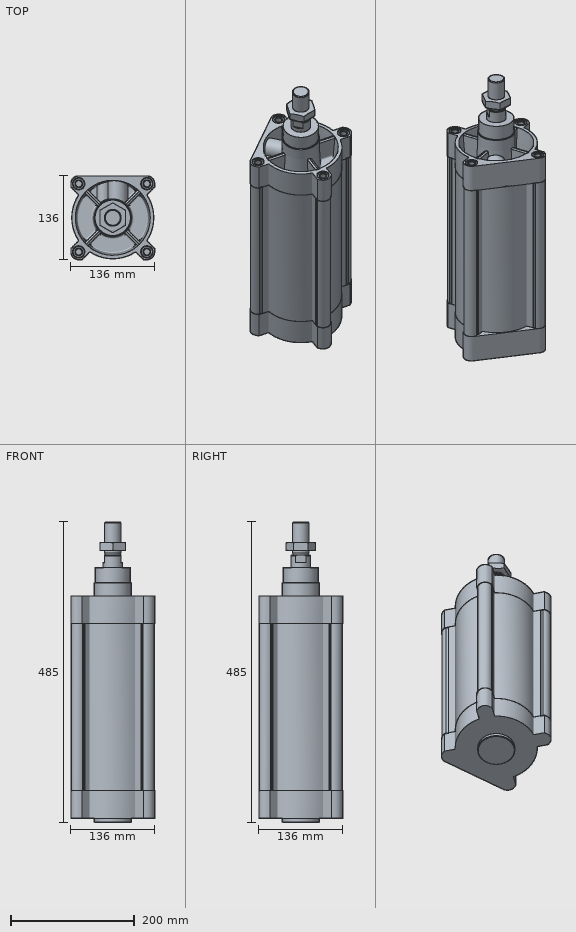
import cadquery as cq
import math

TOTAL_HEIGHT = 485.0
REAR_SPIGOT_HEIGHT = 6.5
CAP_HEIGHT = 45.0
FRONT_CAP_TOP = 366.0
BOSS_STEP_Z = 387.5
BOSS_TOP = 412.0

REAR_CAP_BOTTOM = REAR_SPIGOT_HEIGHT
REAR_CAP_TOP = REAR_CAP_BOTTOM + CAP_HEIGHT
FRONT_CAP_BOTTOM = FRONT_CAP_TOP - CAP_HEIGHT

SIDE = 136.0
LUG_PITCH = 110.0
LUG_CENTER = LUG_PITCH / 2
LUG_RADIUS = SIDE / 2 - LUG_CENTER
CAP_DIAMETER = 133.0
BARREL_DIAMETER = 132.5
BARREL_LUG_DIAMETER = 24.5
LUG_ANGLES = [45, 135, 225, 315]
LUG_REACH = LUG_CENTER * math.sqrt(2)
LUG_ROOT = 48.5
LUG_ROOT_FILLET = 1.0
SEAM_CLEARANCE = 14.5
TOLERANCE = 0.05

FLANK_GROOVE_START = 76.5
FLANK_GROOVE_WIDTH = 4.0
FLANK_GROOVE_DEPTH = 1.5
WEB_WIDTH = 25.0

BOSS_DIAMETER = 60.0
BOSS_NECK_DIAMETER = 57.0
BOSS_BASE_DIAMETER = 64.0
BOSS_BASE_FILLET = 2.5
STEP_CHAMFER = 1.0
CAVITY_DEPTH = 39.0
CAVITY_FLOOR = FRONT_CAP_TOP - CAVITY_DEPTH
CAVITY_TOP_DIAMETER = 121.2
CAVITY_FLOOR_DIAMETER = 114.5
CAVITY_FLOOR_FILLET = 2.0

RIB_CREST_Z = FRONT_CAP_TOP - 1.0
RIB_CREST_SLOPE = math.radians(20)
RIB_WIDTH = 7.0
RIB_BASE_FILLET = 3.0
RIB_INNER_END = 24.2
RIB_OUTER_END = 62.0

PORT_BOSS_X = 8.2
PORT_BOSS_DIAMETER = 32.0
PORT_BOSS_Z = (FRONT_CAP_BOTTOM + FRONT_CAP_TOP) / 2
VALVE_BOSS_X = -14.0
VALVE_BOSS_DIAMETER = 23.5
VALVE_BOSS_Z = 331.0
PORT_BOSS_END = 62.0

RECESS_DIAMETER = 20.0
SEAT_DIAMETER = 18.0
SEAT_DEPTH = 1.0
SOCKET_MOUTH_DIAMETER = 12.5
SOCKET_MOUTH_DEPTH = 2.0
SOCKET_DIAMETER = 10.0
SOCKET_DEPTH = 12.0

ROD_DIAMETER = 32.0
ROD_BOTTOM = FRONT_CAP_BOTTOM
ROD_SHOULDER_Z = 431.5
ROD_CHAMFER = 1.0
FLATS_WIDTH = 27.0
FLATS_BOTTOM = 419.5
THREAD_DIAMETER = 27.0
THREAD_BOTTOM = 435.5
THREAD_CHAMFER = 1.5
UNDERCUT_DIAMETER = 25.5

NUT_ACROSS_FLATS = 41.5
NUT_BOTTOM = 439.0
NUT_HEIGHT = 13.5
NUT_CHAMFER_ANGLE = math.radians(15)


def disc(diameter, bottom, top):
    """Vertical cylinder on the main axis between two heights."""
    return cq.Workplane("XY").workplane(offset=bottom).circle(diameter / 2).extrude(top - bottom)


def at_lug(solid, angle):
    """Turn a shape built along +X to one of the lug directions."""
    return solid.rotate((0, 0, 0), (0, 0, 1), angle)


def fillet_lug_roots(body, body_diameter):
    """Round the vertical corners where the lug flanks meet the round body."""
    def is_root(edge):
        x = abs(edge.Center().x)
        y = abs(edge.Center().y)
        on_body = abs(math.hypot(x, y) - body_diameter / 2) < TOLERANCE
        return on_body and min(x, y) > SEAM_CLEARANCE
    return body.edges("|Z").filter(is_root).fillet(LUG_ROOT_FILLET)


def cap_lug(bottom, height):
    """Lug along +X: rounded outer corner, flat tangent sides and straight flanks."""
    half = LUG_RADIUS
    corner = half * math.tan(math.pi / 8)
    tangent = half / math.sqrt(2)
    return (
        cq.Workplane("XY").workplane(offset=bottom)
        .moveTo(LUG_ROOT, -half)
        .lineTo(LUG_REACH + corner, -half)
        .lineTo(LUG_REACH + tangent, -tangent)
        .threePointArc((LUG_REACH + half, 0), (LUG_REACH + tangent, tangent))
        .lineTo(LUG_REACH + corner, half)
        .lineTo(LUG_ROOT, half)
        .close().extrude(height)
    )


def make_cap(bottom):
    """Round end cap with four lugs and a straight +Y side."""
    cap = disc(CAP_DIAMETER, bottom, bottom + CAP_HEIGHT)
    for angle in LUG_ANGLES:
        cap = cap.union(at_lug(cap_lug(bottom, CAP_HEIGHT), angle))
    port_side = (
        cq.Workplane("XY").workplane(offset=bottom)
        .center(0, (SIDE / 2 + LUG_ROOT) / 2)
        .rect(2 * LUG_CENTER, SIDE / 2 - LUG_ROOT).extrude(CAP_HEIGHT)
    )
    return fillet_lug_roots(cap.union(port_side), CAP_DIAMETER)


def barrel_lug():
    """Tie-rod cover along +X: a round bar on a straight web with grooved flanks."""
    height = FRONT_CAP_BOTTOM - REAR_CAP_TOP
    base = cq.Workplane("XY").workplane(offset=REAR_CAP_TOP)
    web_length = FLANK_GROOVE_START - LUG_ROOT
    web = base.center(LUG_ROOT + web_length / 2, 0).rect(web_length, WEB_WIDTH).extrude(height)
    bar = base.center(LUG_REACH, 0).circle(BARREL_LUG_DIAMETER / 2).extrude(height)
    groove_x = FLANK_GROOVE_START + FLANK_GROOVE_WIDTH / 2
    grooves = (
        base.pushPoints([(groove_x, -WEB_WIDTH / 2), (groove_x, WEB_WIDTH / 2)])
        .rect(FLANK_GROOVE_WIDTH, 2 * FLANK_GROOVE_DEPTH).extrude(height)
    )
    return web.union(bar).cut(grooves)


def make_barrel():
    barrel = disc(BARREL_DIAMETER, REAR_CAP_TOP, FRONT_CAP_BOTTOM)
    for angle in LUG_ANGLES:
        barrel = barrel.union(at_lug(barrel_lug(), angle))
    return fillet_lug_roots(barrel, BARREL_DIAMETER)


def make_cavity():
    """Tapered space removed from the front cap."""
    draft = math.degrees(math.atan((CAVITY_TOP_DIAMETER - CAVITY_FLOOR_DIAMETER) / 2 / CAVITY_DEPTH))
    return (
        cq.Workplane("XY").workplane(offset=FRONT_CAP_TOP)
        .circle(CAVITY_TOP_DIAMETER / 2).extrude(-CAVITY_DEPTH, taper=draft)
        .faces("<Z").edges().fillet(CAVITY_FLOOR_FILLET)
    )


def make_boss():
    """Stepped rod guide: filleted conical base, cylinder, narrower neck."""
    base_radius = BOSS_BASE_DIAMETER / 2
    fillet = BOSS_BASE_FILLET
    arc_inset = fillet * (1 - math.cos(math.pi / 4))
    return (
        cq.Workplane("XZ")
        .moveTo(0, FRONT_CAP_BOTTOM)
        .lineTo(base_radius + fillet, FRONT_CAP_BOTTOM)
        .lineTo(base_radius + fillet, CAVITY_FLOOR)
        .threePointArc((base_radius + arc_inset, CAVITY_FLOOR + arc_inset),
                       (base_radius, CAVITY_FLOOR + fillet))
        .lineTo(BOSS_DIAMETER / 2, FRONT_CAP_TOP)
        .lineTo(BOSS_DIAMETER / 2, BOSS_STEP_Z - STEP_CHAMFER)
        .lineTo(BOSS_NECK_DIAMETER / 2, BOSS_STEP_Z)
        .lineTo(BOSS_NECK_DIAMETER / 2, BOSS_TOP)
        .lineTo(0, BOSS_TOP)
        .close().revolve(360, (0, 0, 0), (0, 1, 0))
    )


def make_rib():
    """Rib along +X with a roof-shaped crest and filleted foot."""
    half = RIB_WIDTH / 2
    shoulder_z = RIB_CREST_Z - half * math.tan(RIB_CREST_SLOPE)
    fillet = RIB_BASE_FILLET
    arc_inset = fillet * (1 - math.cos(math.pi / 4))
    foot = half + fillet
    return (
        cq.Workplane("YZ").workplane(offset=RIB_INNER_END)
        .moveTo(-foot, FRONT_CAP_BOTTOM)
        .lineTo(foot, FRONT_CAP_BOTTOM)
        .lineTo(foot, CAVITY_FLOOR)
        .threePointArc((half + arc_inset, CAVITY_FLOOR + arc_inset), (half, CAVITY_FLOOR + fillet))
        .lineTo(half, shoulder_z)
        .lineTo(0, RIB_CREST_Z)
        .lineTo(-half, shoulder_z)
        .lineTo(-half, CAVITY_FLOOR + fillet)
        .threePointArc((-half - arc_inset, CAVITY_FLOOR + arc_inset), (-foot, CAVITY_FLOOR))
        .close().extrude(RIB_OUTER_END - RIB_INNER_END)
    )


def port_boss(x, z, diameter):
    """Cylinder along +Y from the main axis to the cavity wall."""
    return cq.Workplane("XZ").center(x, z).circle(diameter / 2).extrude(-PORT_BOSS_END)


def screw_recess():
    """Shallow conical recess with a central socket, at the lug along +X."""
    seat_z = FRONT_CAP_TOP - SEAT_DEPTH
    mouth_z = FRONT_CAP_TOP - SOCKET_MOUTH_DEPTH
    return (
        cq.Workplane("XZ").center(LUG_REACH, 0)
        .polyline([
            (0, FRONT_CAP_TOP),
            (RECESS_DIAMETER / 2, FRONT_CAP_TOP),
            (SEAT_DIAMETER / 2, seat_z),
            (SOCKET_MOUTH_DIAMETER / 2, seat_z),
            (SOCKET_DIAMETER / 2, mouth_z),
            (SOCKET_DIAMETER / 2, FRONT_CAP_TOP - SOCKET_DEPTH),
            (0, FRONT_CAP_TOP - SOCKET_DEPTH),
        ])
        .close().revolve(360, (0, 0, 0), (0, 1, 0))
    )


def make_housing():
    front_cap = make_cap(FRONT_CAP_BOTTOM).cut(make_cavity())
    front_cap = front_cap.union(port_boss(PORT_BOSS_X, PORT_BOSS_Z, PORT_BOSS_DIAMETER))
    front_cap = front_cap.union(port_boss(VALVE_BOSS_X, VALVE_BOSS_Z, VALVE_BOSS_DIAMETER))
    front_cap = front_cap.union(make_boss())
    for angle in LUG_ANGLES:
        front_cap = front_cap.union(at_lug(make_rib(), angle))
    for angle in LUG_ANGLES:
        front_cap = front_cap.cut(at_lug(screw_recess(), angle))
    spigot = disc(BOSS_DIAMETER, 0, REAR_CAP_BOTTOM).faces("<Z").edges().chamfer(STEP_CHAMFER)
    rod_bore = disc(ROD_DIAMETER, ROD_BOTTOM, BOSS_TOP)
    return make_barrel().union(front_cap).union(make_cap(REAR_CAP_BOTTOM)).union(spigot).cut(rod_bore)


def make_rod():
    """Piston rod with wrench flats, thread undercut and threaded end."""
    shank = disc(ROD_DIAMETER, ROD_BOTTOM, ROD_SHOULDER_Z).faces(">Z").edges().chamfer(ROD_CHAMFER)
    flats_height = ROD_SHOULDER_Z - FLATS_BOTTOM
    flats_core = (
        cq.Workplane("XY").workplane(offset=FLATS_BOTTOM)
        .rect(FLATS_WIDTH, 2 * ROD_DIAMETER).extrude(flats_height)
    )
    flats_waste = disc(2 * ROD_DIAMETER, FLATS_BOTTOM, ROD_SHOULDER_Z).cut(flats_core)
    undercut = disc(UNDERCUT_DIAMETER, ROD_SHOULDER_Z, THREAD_BOTTOM)
    thread = disc(THREAD_DIAMETER, THREAD_BOTTOM, TOTAL_HEIGHT).faces(">Z").edges().chamfer(THREAD_CHAMFER)
    return shank.cut(flats_waste).union(undercut).union(thread)


def make_nut():
    """Hexagon nut with corners on the Y axis, chamfered on both faces."""
    corner_radius = NUT_ACROSS_FLATS / math.sqrt(3)
    flat_radius = NUT_ACROSS_FLATS / 2
    chamfer_height = (corner_radius - flat_radius) * math.tan(NUT_CHAMFER_ANGLE)
    top = NUT_BOTTOM + NUT_HEIGHT
    hexagon = (
        cq.Workplane("XY").workplane(offset=NUT_BOTTOM)
        .polygon(6, 2 * corner_radius).extrude(NUT_HEIGHT)
        .rotate((0, 0, 0), (0, 0, 1), 90)
    )
    turned_blank = (
        cq.Workplane("XZ")
        .polyline([
            (0, NUT_BOTTOM),
            (flat_radius, NUT_BOTTOM),
            (corner_radius, NUT_BOTTOM + chamfer_height),
            (corner_radius, top - chamfer_height),
            (flat_radius, top),
            (0, top),
        ])
        .close().revolve(360, (0, 0, 0), (0, 1, 0))
    )
    return hexagon.intersect(turned_blank).cut(disc(THREAD_DIAMETER, NUT_BOTTOM, top))


housing = make_housing()
rod = make_rod()
nut = make_nut()

result = cq.Compound.makeCompound([housing.val(), rod.val(), nut.val()])